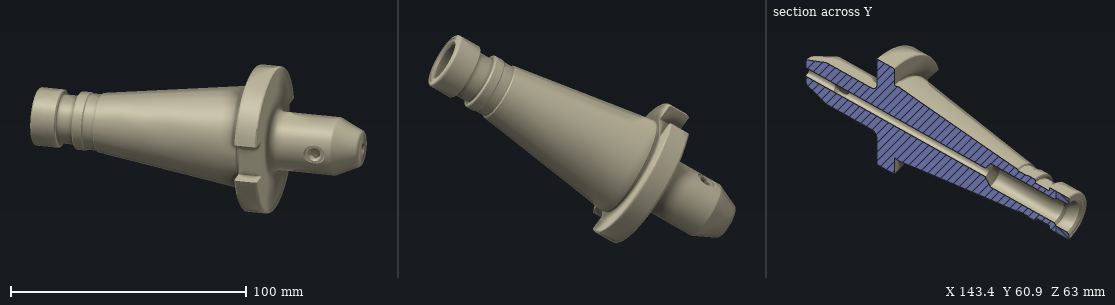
import cadquery as cq
import math


total_length = 143.4
body_diameter = 25.0
edge_break = 0.5

ring_length = 7.2
ring_bore_diameter = 16.5
ring_outer_fillet = 1.1
ring_bore_chamfer = 1.1
ring_recess_diameter = 21.5
ring_recess_depth = 0.1

groove_start = 11.0
groove_end = 18.4
groove_diameter = 21.0
groove_fillet = 0.5
collar_end = 23.1
relief_diameter = 24.1
taper_start = 27.8
taper_end = 93.5
taper_large_diameter = 44.5
taper_rate = 7 / 24
neck_diameter = 43.6

flange_start = 95.0
flange_width = 10.0
flange_diameter = 63.0
flange_fillet = 1.0
key_slot_width = 16.0
key_slot_floor = 22.7

nose_root_fillet = 3.0
nose_cone_start = 132.5
nose_tip_diameter = 14.9
nose_shoulder_fillet = 1.0
nose_tip_fillet = 2.0

drawbar_bore_diameter = 13.8
drawbar_bore_end = 43.0
drawbar_mouth_diameter = 15.9
through_hole_diameter = 4.9
drill_half_angle = math.radians(59)

screw_x = 125.3
screw_diameter = 8.0
screw_recess = 0.7
screw_tip_distance = 3.0
screw_hole_mouth_diameter = 9.3
socket_across_flats = 4.3
socket_depth = 2.6
socket_chamfer_diameter = 6.0
socket_pilot_diameter = 3.2
socket_pilot_depth = 0.5

body_radius = body_diameter / 2
flange_end = flange_start + flange_width
taper_large_radius = taper_large_diameter / 2


def revolve_about_x(profile):
    """Close an XY outline and turn it into a solid around the X axis."""
    return profile.close().revolve(360, (0, 0, 0), (1, 0, 0))


def cross_plane(y, outward):
    """Plane square to the set screw axis at height y; outward is its Y direction."""
    return cq.Plane(origin=(screw_x, y, 0), xDir=(1, 0, 0), normal=(0, outward, 0))


def make_end_ring():
    """Bored ring with a rounded rim and a shallow recess in its outer face."""
    outer = body_radius
    bore = ring_bore_diameter / 2
    ring = cq.Workplane("YZ").circle(outer).circle(bore).extrude(ring_length)
    ring = ring.faces("<X").edges(cq.selectors.RadiusNthSelector(1)).fillet(ring_outer_fillet)
    ring = ring.faces("<X").edges(cq.selectors.RadiusNthSelector(0)).chamfer(ring_bore_chamfer)
    recess = cq.Workplane("YZ").circle(ring_recess_diameter / 2).extrude(ring_recess_depth)
    return ring.cut(recess)


def make_shank():
    """Collars, grooves and taper, from the end ring to the flange."""
    groove_radius = groove_diameter / 2
    relief_radius = relief_diameter / 2
    cone_start = taper_start + edge_break
    cone_radius = taper_large_radius - (taper_end - cone_start) * taper_rate / 2
    mid = groove_fillet * (1 - math.sqrt(0.5))
    profile = (
        cq.Workplane("XY")
        .moveTo(ring_length, 0)
        .lineTo(ring_length, body_radius)
        .lineTo(groove_start - edge_break, body_radius)
        .lineTo(groove_start, body_radius - edge_break)
        .lineTo(groove_start, groove_radius + groove_fillet)
        .threePointArc(
            (groove_start + mid, groove_radius + mid),
            (groove_start + groove_fillet, groove_radius),
        )
        .lineTo(groove_end, groove_radius)
        .lineTo(groove_end, body_radius - edge_break)
        .lineTo(groove_end + edge_break, body_radius)
        .lineTo(collar_end - edge_break, body_radius)
        .lineTo(collar_end, relief_radius)
        .lineTo(taper_start, relief_radius)
        .lineTo(taper_start, cone_radius - edge_break)
        .lineTo(cone_start, cone_radius)
        .lineTo(taper_end, taper_large_radius)
        .lineTo(taper_end + edge_break, neck_diameter / 2)
        .lineTo(flange_start, neck_diameter / 2)
        .lineTo(flange_start, 0)
    )
    return revolve_about_x(profile)


def make_flange():
    """Full disc with rounded rims."""
    flange = cq.Workplane("YZ").workplane(offset=flange_start).circle(flange_diameter / 2)
    return flange.extrude(flange_width).edges().fillet(flange_fillet)


def make_key_slots():
    """Blocks that cut the two drive slots on the +Y and -Y sides of the flange."""
    depth = flange_diameter / 2 - key_slot_floor
    middle_x = flange_start + flange_width / 2
    middle_y = key_slot_floor + depth / 2
    centers = [(middle_x, side * middle_y) for side in (1, -1)]
    return cq.Workplane("XY").pushPoints(centers).box(flange_width, depth, key_slot_width)


def make_nose():
    """Cylindrical tool-side nose with a rounded cone at its tip."""
    profile = (
        cq.Workplane("XY")
        .moveTo(flange_end, 0)
        .lineTo(flange_end, body_radius)
        .lineTo(nose_cone_start, body_radius)
        .lineTo(total_length, nose_tip_diameter / 2)
        .lineTo(total_length, 0)
    )
    nose = revolve_about_x(profile)
    nose = nose.faces(">X").edges().fillet(nose_tip_fillet)
    shoulder = cq.selectors.RadiusNthSelector(-1)
    return nose.faces("%CONE").edges(shoulder).fillet(nose_shoulder_fillet)


def make_nose_root():
    """Concave ring that rounds the corner between flange and nose."""
    outer = body_radius + nose_root_fillet
    mid = nose_root_fillet * (1 - math.sqrt(0.5))
    profile = (
        cq.Workplane("XY")
        .moveTo(flange_end, 0)
        .lineTo(flange_end, outer)
        .threePointArc(
            (flange_end + mid, body_radius + mid),
            (flange_end + nose_root_fillet, body_radius),
        )
        .lineTo(flange_end + nose_root_fillet, 0)
    )
    return revolve_about_x(profile)


def make_axial_bore():
    """Drawbar bore with a conical mouth and drill-point end, then the through hole."""
    bore = drawbar_bore_diameter / 2
    mouth = drawbar_mouth_diameter / 2
    hole = through_hole_diameter / 2
    drill_point = (bore - hole) / math.tan(drill_half_angle)
    profile = (
        cq.Workplane("XY")
        .moveTo(ring_length, 0)
        .lineTo(ring_length, mouth)
        .lineTo(ring_length + mouth - bore, bore)
        .lineTo(drawbar_bore_end, bore)
        .lineTo(drawbar_bore_end + drill_point, hole)
        .lineTo(total_length, hole)
        .lineTo(total_length, 0)
    )
    return revolve_about_x(profile)


def make_screw_hole():
    """Radial hole from the nose surface to the axis, countersunk at its mouth."""
    hole = cq.Workplane(cross_plane(0, -1)).circle(screw_diameter / 2).extrude(body_radius)
    mouth = screw_hole_mouth_diameter / 2
    depth = mouth - screw_diameter / 2
    sink = cq.Solid.makeCone(
        mouth, screw_diameter / 2, depth, cq.Vector(screw_x, -body_radius, 0), cq.Vector(0, 1, 0)
    )
    return hole.union(cq.Workplane(sink))


def make_holder():
    """Shank, flange and nose in one piece, with the slots and bores removed."""
    holder = make_shank().union(make_flange()).union(make_nose()).union(make_nose_root())
    return holder.cut(make_key_slots()).cut(make_axial_bore()).cut(make_screw_hole())


def make_set_screw():
    """Plain cylinder with a chamfered hexagon socket and a pilot hole at its bottom."""
    face = body_radius - screw_recess
    screw = cq.Workplane(cross_plane(-screw_tip_distance, -1)).circle(screw_diameter / 2)
    screw = screw.extrude(face - screw_tip_distance)
    inward = cross_plane(-face, 1)
    socket = cq.Workplane(inward).polygon(6, socket_across_flats, circumscribed=True).extrude(socket_depth)
    pilot = cq.Workplane(inward).circle(socket_pilot_diameter / 2).extrude(socket_depth + socket_pilot_depth)
    sink_radius = socket_chamfer_diameter / 2
    sink_end_radius = socket_across_flats / 2
    sink = cq.Solid.makeCone(
        sink_radius, sink_end_radius, sink_radius - sink_end_radius,
        cq.Vector(screw_x, -face, 0), cq.Vector(0, 1, 0),
    )
    return screw.cut(socket).cut(pilot).cut(cq.Workplane(sink))


end_ring = make_end_ring()
holder = make_holder()
set_screw = make_set_screw()

result = cq.Compound.makeCompound([holder.val(), end_ring.val(), set_screw.val()])